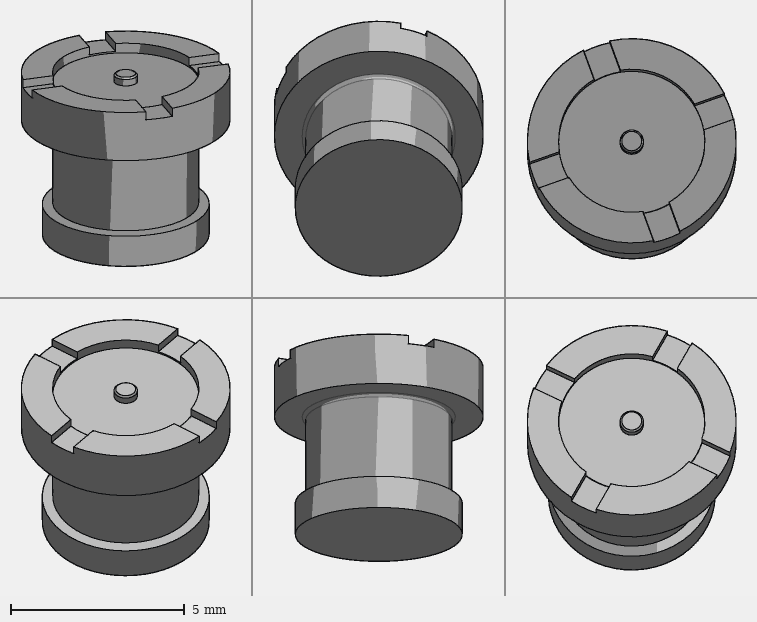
import cadquery as cq

total_height = 5.06

foot_radius = 2.4
foot_edge_height = 0.945
foot_cone_rise = 0.045

neck_radius = 2.1
neck_fillet = 0.1

head_radius = 3.0
head_height = 1.5
recess_radius = 2.1
recess_depth = 0.3
slot_width = 0.8
slot_depth = 0.25

pin_radius = 0.335
pin_chamfer = 0.05
pin_top_drop = 0.05

head_bottom = total_height - head_height
recess_floor = total_height - recess_depth
pin_height = recess_depth - pin_top_drop


def make_body():
    """Revolve the foot, neck and head around the Z axis."""
    neck_bottom = foot_edge_height + foot_cone_rise
    fillet_start = (neck_radius, head_bottom - neck_fillet)
    fillet_end = (neck_radius + neck_fillet, head_bottom)
    profile = (
        cq.Workplane("XZ")
        .moveTo(0, 0)
        .lineTo(foot_radius, 0)
        .lineTo(foot_radius, foot_edge_height)
        .lineTo(neck_radius, neck_bottom)
        .lineTo(*fillet_start)
        .radiusArc(fillet_end, neck_fillet)
        .lineTo(head_radius, head_bottom)
        .lineTo(head_radius, total_height)
        .lineTo(0, total_height)
        .close()
    )
    return profile.revolve(360, (0, 0, 0), (0, 1, 0))


def make_recess():
    """Round pocket in the top of the head."""
    return cq.Workplane("XY").workplane(offset=recess_floor).circle(recess_radius).extrude(recess_depth)


def make_slot(angle):
    """Slot across the whole head, turned about Z by the given angle."""
    slot = cq.Workplane("XY").workplane(offset=total_height - slot_depth)
    slot = slot.rect(2 * head_radius, slot_width).extrude(slot_depth)
    return slot.rotate((0, 0, 0), (0, 0, 1), angle)


def make_pin():
    """Centre pin with a chamfered top edge."""
    pin = cq.Workplane("XY").workplane(offset=recess_floor).circle(pin_radius).extrude(pin_height)
    return pin.faces(">Z").chamfer(pin_chamfer)


result = make_body().cut(make_recess())
for slot_angle in (0, 90):
    result = result.cut(make_slot(slot_angle))
result = result.union(make_pin())